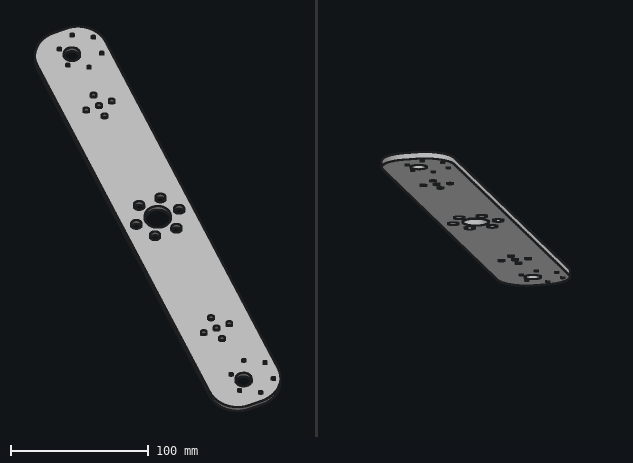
import cadquery as cq

length = 360.0
width = 54.0
thickness = 5.0
corner_radius = 22.0

hub_bore_diameter = 19.0
hub_bolt_diameter = 7.5
hub_bolt_circle_radius = 17.0

motor_x = 157.5
shaft_hole_diameter = 12.0
motor_screw_diameter = 2.5
motor_screw_circle_radius = 15.5
motor_ring_offset = 7.0

cross_x = 107.5
cross_pitch = 10.0
cross_hole_diameter = 4.5

bolts_per_ring = 6


def cut_holes(body, centres, diameter):
    """Cut round through holes at the given XY centres."""
    return body.faces(">Z").workplane(origin=(0, 0, 0)).pushPoints(centres).hole(diameter)


def cut_ring(body, centre, radius, start_angle, diameter):
    """Cut an evenly spaced ring of round through holes."""
    return (
        body.faces(">Z")
        .workplane(origin=(0, 0, 0))
        .center(*centre)
        .polarArray(radius, start_angle, 360, bolts_per_ring)
        .hole(diameter)
    )


def cut_hub(body):
    body = cut_holes(body, [(0, 0)], hub_bore_diameter)
    return cut_ring(body, (0, 0), hub_bolt_circle_radius, 90, hub_bolt_diameter)


def cut_motor_mount(body, x):
    body = cut_holes(body, [(x, 0)], shaft_hole_diameter)
    return cut_ring(body, (x, motor_ring_offset), motor_screw_circle_radius, 0, motor_screw_diameter)


def cut_cross(body, x):
    centres = [
        (x, 0),
        (x - cross_pitch, 0),
        (x + cross_pitch, 0),
        (x, -cross_pitch),
        (x, cross_pitch),
    ]
    return cut_holes(body, centres, cross_hole_diameter)


plate = cq.Workplane("XY").box(length, width, thickness).edges("|Z").fillet(corner_radius)
plate = cut_hub(plate)
for side in (-1, 1):
    plate = cut_motor_mount(plate, side * motor_x)
    plate = cut_cross(plate, side * cross_x)

result = plate